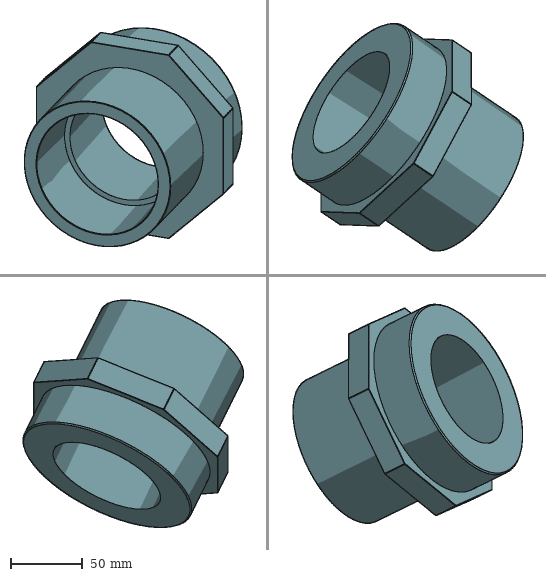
import cadquery as cq

across_flats = 140.5
flange_sides = 8
flange_length = 18.0

collar_diameter = 129.0
collar_length = 32.0
spigot_diameter = 110.0
spigot_length = 61.0

bore_diameter = 82.0
socket_mouth_diameter = 91.0
socket_floor_diameter = 90.0
socket_depth = 51.0

collar_chamfer = 1.0
rim_chamfer = 0.4
flange_chamfer = 0.3

flange_front = 0.0
flange_back = flange_front + flange_length
collar_end = flange_back + collar_length
spigot_mouth = flange_front - spigot_length


def section_at(y):
    """Workplane across the Y axis, facing +Y."""
    return cq.Workplane(cq.Plane(origin=(0, y, 0), xDir=(1, 0, 0), normal=(0, 1, 0)))


def cylinder_along_y(diameter, start, end):
    """Solid cylinder on the Y axis between two Y positions."""
    return section_at(start).circle(diameter / 2).extrude(end - start)


def octagonal_flange():
    """Regular octagon with flats facing X and Z, all edges lightly broken."""
    octagon = section_at(flange_front).polygon(flange_sides, across_flats, circumscribed=True)
    return octagon.extrude(flange_length).edges().chamfer(flange_chamfer)


def collar():
    """Plain round collar with a chamfered outer end."""
    body = cylinder_along_y(collar_diameter, flange_back, collar_end)
    return body.faces(">Y").edges().chamfer(collar_chamfer)


def pipe_socket():
    """Socket cavity that narrows slightly from the spigot mouth to its floor."""
    return (
        section_at(spigot_mouth)
        .circle(socket_mouth_diameter / 2)
        .workplane(offset=socket_depth)
        .circle(socket_floor_diameter / 2)
        .loft()
    )


def spigot():
    """Round spigot hollowed by the pipe socket, both rim edges lightly broken."""
    body = cylinder_along_y(spigot_diameter, spigot_mouth, flange_front).cut(pipe_socket())
    return body.faces("<Y").edges().chamfer(rim_chamfer)


bore = cylinder_along_y(bore_diameter, spigot_mouth, collar_end)
result = octagonal_flange().union(collar()).union(spigot()).cut(bore)